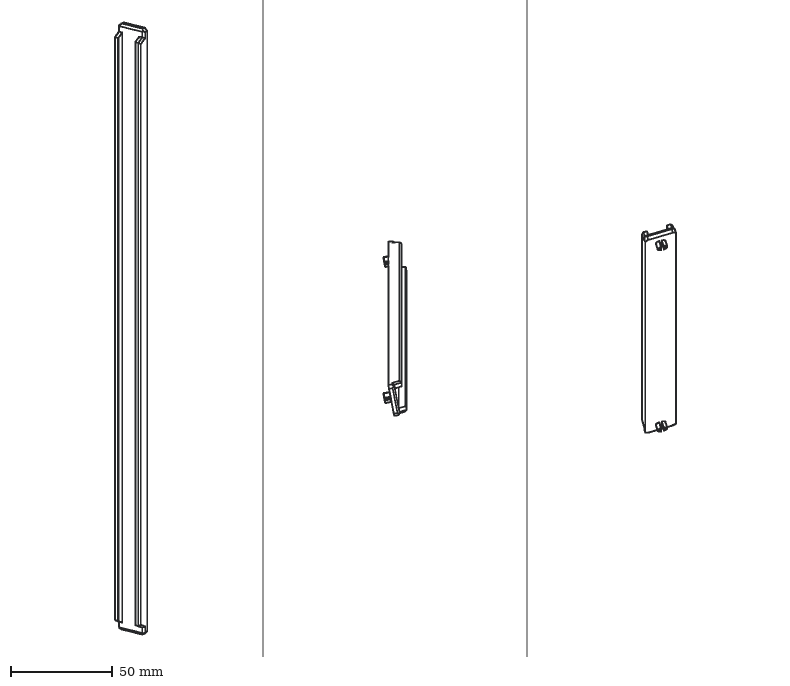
import cadquery as cq

length = 319.5
width = 16.0
depth = 10.0
peg_height = 3.5
web_thickness = 3.0
flange_thickness = 3.0
flange_setback = 4.0
flange_end_slope = 2.0
edge_chamfer = 1.0
inner_tip_chamfer = 0.3
corner_chamfer = 1.5
end_bevel = 1.3
peg_diameter = 5.0
peg_chamfer = 0.3
peg_end_distance = 9.5
peg_slot_width = 1.3

front_y = -depth / 2
peg_tip_y = depth / 2
back_y = peg_tip_y - peg_height
web_front_y = back_y - web_thickness


def make_web():
    """Flat strip with cut corners, bevelled front ends and chamfered front sides."""
    end_z = length / 2
    side_outline = [
        (back_y, -end_z),
        (back_y, end_z),
        (web_front_y + edge_chamfer, end_z),
        (web_front_y, end_z - end_bevel),
        (web_front_y, end_bevel - end_z),
        (web_front_y + edge_chamfer, -end_z),
    ]
    strip = (
        cq.Workplane("YZ")
        .polyline(side_outline)
        .close()
        .extrude(width / 2, both=True)
    )
    strip = strip.faces("<Y").edges("|Z").chamfer(edge_chamfer)
    blank = cq.Workplane("XY").box(width, 2 * depth, length)
    blank = blank.edges("|Y").chamfer(corner_chamfer)
    return strip.intersect(blank)


def make_flange(side):
    """Side wall with sloping ends, chamfered around its outside and along its inner tip."""
    root_z = length / 2 - flange_setback
    tip_z = root_z - flange_end_slope
    outline = [
        (back_y, -root_z),
        (back_y, root_z),
        (web_front_y, root_z),
        (front_y, tip_z),
        (front_y, -tip_z),
        (web_front_y, -root_z),
    ]
    flange = (
        cq.Workplane("YZ")
        .polyline(outline)
        .close()
        .extrude(flange_thickness / 2, both=True)
    )
    outer_face = ">X" if side > 0 else "<X"
    flange = flange.faces(outer_face).edges("not(|Y or >Y)").chamfer(edge_chamfer)
    inner_face = "<X" if side > 0 else ">X"
    flange = flange.faces("<Y").edges(inner_face).chamfer(inner_tip_chamfer)
    return flange.translate((side * (width - flange_thickness) / 2, 0, 0))


def make_peg(end):
    """Round peg on the back, split crosswise into four prongs."""
    peg = (
        cq.Workplane("XZ", origin=(0, web_front_y + web_thickness / 2, 0))
        .circle(peg_diameter / 2)
        .extrude(-(peg_height + web_thickness / 2))
        .faces(">Y")
        .chamfer(peg_chamfer)
    )
    slot = (
        cq.Workplane("XZ", origin=(0, back_y, 0))
        .rect(peg_slot_width, peg_diameter)
        .extrude(-peg_height)
    )
    cross_slot = slot.rotate((0, 0, 0), (0, 1, 0), 90)
    peg = peg.cut(slot).cut(cross_slot)
    return peg.translate((0, 0, end * (length / 2 - peg_end_distance)))


result = make_web()
for direction in (-1, 1):
    result = result.union(make_flange(direction))
    result = result.union(make_peg(direction))